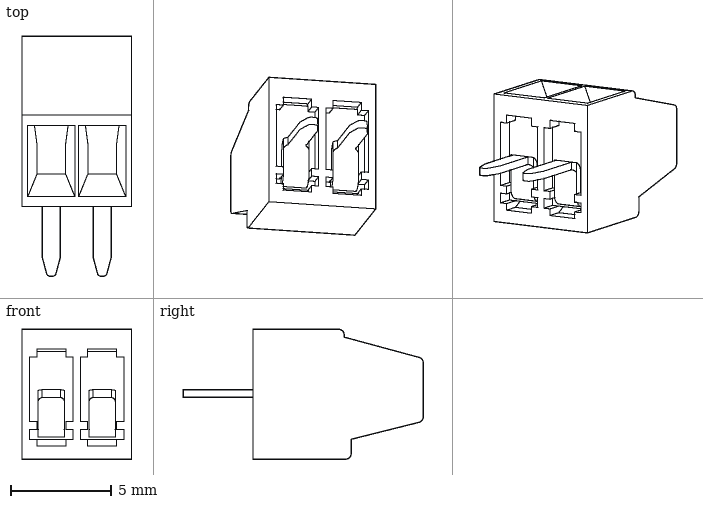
import cadquery as cq
import math


POLE_PITCH = 2.55
POLE_CENTRES = (-POLE_PITCH / 2, POLE_PITCH / 2)

WIDTH = 5.48
HEIGHT = 6.5
LENGTH = 8.52
TOP_STEP_Y = 4.57
TOP_STEP_Z = 6.11
BACK_TOP_Z = 5.04
BACK_BOTTOM_Z = 1.9
BOTTOM_STEP_Y = 4.92
BOTTOM_STEP_Z = 1.0
CORNER_RADIUS = 0.3

FUNNEL_MOUTH_WIDTH = 2.35
FUNNEL_FLOOR_WIDTH = 1.43
FUNNEL_FRONT_Y = 0.5
FUNNEL_BACK_Y = 4.05
FUNNEL_FLOOR_FRONT_Y = 1.63
FUNNEL_FLOOR_BACK_Y = 3.11
FUNNEL_DEPTH = 1.13
FUNNEL_BACK_DEPTH = 0.83

POCKET_DEPTH = 0.84
POCKET_WIDTH = 2.17
KEY_WIDTH = 1.45
KEY_BOTTOM_Z = 0.66
KEY_TOP_Z = 5.51
CHAMBER_BOTTOM_Z = 1.88
CHAMBER_TOP_Z = 5.1
FOOT_BOTTOM_Z = 1.0
FOOT_TOP_Z = 1.49
ROOF_WEDGE_HEIGHT = 0.12
FLOOR_WEDGE_HEIGHT = FOOT_BOTTOM_Z - KEY_BOTTOM_Z
WEDGE_ANGLE = 28

SHEET = 0.38
INNER_BEND = 0.2
OUTER_BEND = INNER_BEND + SHEET
PIN_LENGTH = 3.48
PIN_TOP_Z = 3.48
PLATE_FRONT_Y = 0.3
PLATE_WIDTH = 1.31
LEG_BOTTOM_Z = 1.1
PIN_WIDTH = 0.91
PIN_TAPER_Y = -2.53
TIP_WIDTH = 0.41
TIP_RADIUS = 0.19
SHOULDER_Y = 0.15


def box_between(x, width, y_start, y_end, z_start, z_end):
    """Box centred on x in X and spanning the given Y and Z limits."""
    base = cq.Workplane("XY", origin=(x, y_start, z_start))
    return base.box(width, y_end - y_start, z_end - z_start, centered=(True, False, False))


def extrude_side(points, width, x=0):
    """Closed (Y, Z) outline extruded to the full width, centred on x."""
    return cq.Workplane("YZ", origin=(x, 0, 0)).polyline(points).close().extrude(width / 2, both=True)


def housing():
    outline = [
        (0, 0),
        (BOTTOM_STEP_Y, 0),
        (BOTTOM_STEP_Y, BOTTOM_STEP_Z),
        (LENGTH, BACK_BOTTOM_Z),
        (LENGTH, BACK_TOP_Z),
        (TOP_STEP_Y, TOP_STEP_Z),
        (TOP_STEP_Y, HEIGHT),
        (0, HEIGHT),
    ]
    rounded_corners = [outline[1], outline[3], outline[4], outline[6]]
    body = extrude_side(outline, WIDTH)
    for y, z in rounded_corners:
        edge = cq.selectors.NearestToPointSelector((0, y, z))
        body = body.edges(edge).fillet(CORNER_RADIUS)
    return body


def funnel(x):
    """Drafted pocket: upright rear wall, ramps to a flat floor, and tapering side walls."""
    floor_z = HEIGHT - FUNNEL_DEPTH
    side = extrude_side(
        [
            (FUNNEL_FRONT_Y, HEIGHT),
            (FUNNEL_FLOOR_FRONT_Y, floor_z),
            (FUNNEL_FLOOR_BACK_Y, floor_z),
            (FUNNEL_BACK_Y, HEIGHT - FUNNEL_BACK_DEPTH),
            (FUNNEL_BACK_Y, HEIGHT),
        ],
        FUNNEL_MOUTH_WIDTH,
        x,
    )
    taper = (
        cq.Workplane("XZ", origin=(x, 0, 0))
        .polyline(
            [
                (-FUNNEL_MOUTH_WIDTH / 2, HEIGHT),
                (-FUNNEL_FLOOR_WIDTH / 2, floor_z),
                (FUNNEL_FLOOR_WIDTH / 2, floor_z),
                (FUNNEL_MOUTH_WIDTH / 2, HEIGHT),
            ]
        )
        .close()
        .extrude(-LENGTH)
    )
    return side.intersect(taper)


def front_pocket(x):
    """Wide chamber and foot slot joined by a narrower key, with a wedge behind its roof and floor."""
    chamber = box_between(x, POCKET_WIDTH, 0, POCKET_DEPTH, CHAMBER_BOTTOM_Z, CHAMBER_TOP_Z)
    foot = box_between(x, POCKET_WIDTH, 0, POCKET_DEPTH, FOOT_BOTTOM_Z, FOOT_TOP_Z)
    wedge_slope = math.tan(math.radians(WEDGE_ANGLE))
    roof_wedge_z = KEY_TOP_Z - ROOF_WEDGE_HEIGHT
    key = extrude_side(
        [
            (0, KEY_BOTTOM_Z),
            (POCKET_DEPTH, KEY_BOTTOM_Z),
            (POCKET_DEPTH + FLOOR_WEDGE_HEIGHT / wedge_slope, FOOT_BOTTOM_Z),
            (POCKET_DEPTH, FOOT_BOTTOM_Z),
            (POCKET_DEPTH, roof_wedge_z),
            (POCKET_DEPTH + ROOF_WEDGE_HEIGHT / wedge_slope, roof_wedge_z),
            (POCKET_DEPTH, KEY_TOP_Z),
            (0, KEY_TOP_Z),
        ],
        KEY_WIDTH,
        x,
    )
    return chamber.union(foot).union(key)


def terminal(x):
    """Pin bent down into a plate, which bends back into a leg held by the housing."""
    pin_bottom_z = PIN_TOP_Z - SHEET
    plate_back_y = PLATE_FRONT_Y + SHEET
    leg_top_z = LEG_BOTTOM_Z + SHEET
    leg_end_y = POCKET_DEPTH + SHEET
    bent_strip = (
        cq.Workplane("YZ", origin=(x, 0, 0))
        .moveTo(-PIN_LENGTH, PIN_TOP_Z)
        .lineTo(plate_back_y - OUTER_BEND, PIN_TOP_Z)
        .radiusArc((plate_back_y, PIN_TOP_Z - OUTER_BEND), OUTER_BEND)
        .lineTo(plate_back_y, leg_top_z + INNER_BEND)
        .radiusArc((plate_back_y + INNER_BEND, leg_top_z), -INNER_BEND)
        .lineTo(leg_end_y, leg_top_z)
        .lineTo(leg_end_y, LEG_BOTTOM_Z)
        .lineTo(PLATE_FRONT_Y + OUTER_BEND, LEG_BOTTOM_Z)
        .radiusArc((PLATE_FRONT_Y, LEG_BOTTOM_Z + OUTER_BEND), OUTER_BEND)
        .lineTo(PLATE_FRONT_Y, pin_bottom_z - INNER_BEND)
        .radiusArc((PLATE_FRONT_Y - INNER_BEND, pin_bottom_z), -INNER_BEND)
        .lineTo(-PIN_LENGTH, pin_bottom_z)
        .close()
        .extrude(PLATE_WIDTH / 2, both=True)
    )
    right_side = [
        (TIP_WIDTH / 2, -PIN_LENGTH),
        (PIN_WIDTH / 2, PIN_TAPER_Y),
        (PIN_WIDTH / 2, SHOULDER_Y),
        (PLATE_WIDTH / 2, PLATE_FRONT_Y),
        (PLATE_WIDTH / 2, leg_end_y),
    ]
    left_side = [(-across, y) for across, y in reversed(right_side)]
    blank = (
        cq.Workplane("XY", origin=(x, 0, 0))
        .polyline(right_side + left_side)
        .close()
        .extrude(HEIGHT)
        .faces("<Y")
        .edges("|Z")
        .fillet(TIP_RADIUS)
    )
    return bent_strip.intersect(blank)


result = housing()
for pole_x in POLE_CENTRES:
    result = result.cut(funnel(pole_x)).cut(front_pocket(pole_x)).union(terminal(pole_x))